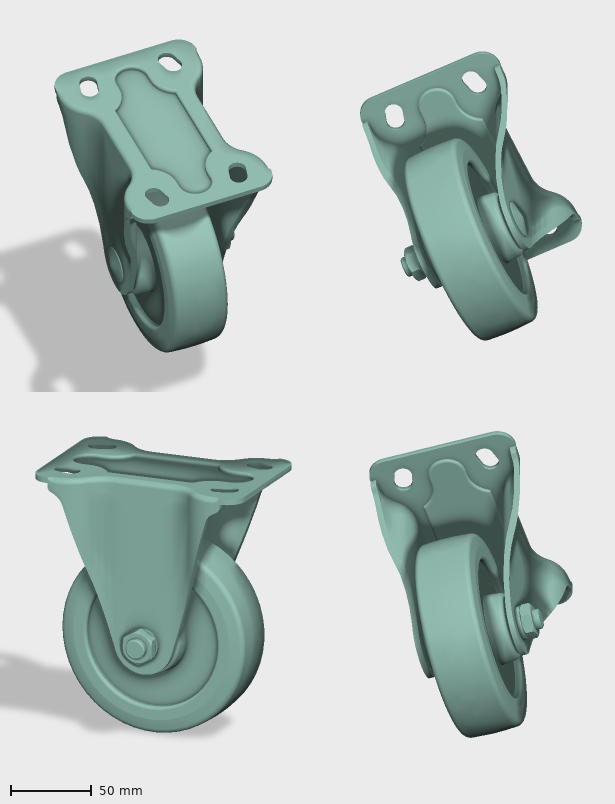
import cadquery as cq
import math


wheel_radius = 62.2
overall_height = 167.1
plate_top = overall_height - wheel_radius

selection_margin = 0.2

sheet = 3.5
plate_half_length = 70.0
plate_width = 94.0
plate_half_width = plate_width / 2
plate_corner_radius = 11.7
arm_outer_y = 32.0
arm_inner_y = arm_outer_y - sheet
arm_flat_half_width = 20.0
waist_inflection_x = 34.6
runout_stations = (0, 0.5, 0.85, 0.99)
waist_end_x = 52.0

arm_end_radius = 19.5
arm_flare_angle = 17.4
tab_half_width = 57.8
tab_depth = 8.0
tab_slope_angle = 27.0
tab_corner_radius = 3.3
tab_hollow_radius = 11.7

slot_x = 53.0
slot_y = 27.2
slot_width = 11.0
slot_travel = 6.5
slot_angle = 15.0

panel_half_width = 21.9
panel_corner_reach = 33.5
panel_nose_radius = 11.9
panel_nose_x = 49.1
panel_shoulder_x = 44.8
panel_shoulder_radius = 17.0
panel_corner_radius = 1.7
panel_boss_depth = 1.8
panel_recess_depth = 3.0
panel_edge_radius = 1.7
panel_recess_corner_radius = 0.8

crown_edge_y = 14.9
crown_edge_radius = 61.5
tyre_bulge_y = 16.9
tyre_bulge_radius = 60.5
shoulder_y = 17.9
shoulder_radius = 58.7
side_y = 19.0
side_radius = 52.3
rim_inner_radius = 46.1
web_outer_radius = 42.1
web_y = 13.9
hub_root_radius = 24.2
hub_tip_radius = 21.4
hub_tip_rounding = 3.2
hub_end_y = 26.7
bore_radius = 8.5

shank_radius = 6.4
head_radius = 11.5
head_rim = 0.8
head_height = 3.8
washer_radius = 10.5
washer_thickness = 2.5
nut_across_flats = 19.4
nut_height = 7.0
nut_trim_radial = 1.7
nut_trim_axial = 1.2
shank_end_y = 45.5
shank_end_chamfer = 0.8


def plan_outline():
    """Closed plan of the plate: round corners and a narrow waist."""
    run = waist_end_x - arm_flat_half_width
    rise = plate_half_width - arm_outer_y
    turn = 2 * math.atan(rise / run)
    hollow_radius = (waist_inflection_x - arm_flat_half_width) / math.sin(turn)
    round_radius = (waist_end_x - waist_inflection_x) / math.sin(turn)

    inflection = (waist_inflection_x, arm_outer_y + hollow_radius * (1 - math.cos(turn)))
    hollow_mid = (
        arm_flat_half_width + hollow_radius * math.sin(turn / 2),
        arm_outer_y + hollow_radius * (1 - math.cos(turn / 2)),
    )
    round_mid = (
        waist_end_x - round_radius * math.sin(turn / 2),
        plate_half_width - round_radius * (1 - math.cos(turn / 2)),
    )
    corner_x = plate_half_length - plate_corner_radius
    corner_y = plate_half_width - plate_corner_radius
    corner_reach = plate_corner_radius * math.sqrt(0.5)
    return (
        cq.Workplane("XY")
        .moveTo(0, arm_outer_y)
        .lineTo(arm_flat_half_width, arm_outer_y)
        .threePointArc(hollow_mid, inflection)
        .threePointArc(round_mid, (waist_end_x, plate_half_width))
        .lineTo(corner_x, plate_half_width)
        .threePointArc((corner_x + corner_reach, corner_y + corner_reach), (plate_half_length, corner_y))
        .lineTo(plate_half_length, 0)
        .mirrorX()
        .mirrorY()
    )


def panel_outline():
    """Closed plan of the pressed panel: wide middle, two necks with round noses."""
    shoulder_centre_y = panel_nose_radius + panel_shoulder_radius
    corner_drop = math.asin((shoulder_centre_y - panel_half_width) / panel_shoulder_radius)
    corner_x = panel_shoulder_x - panel_shoulder_radius * math.cos(corner_drop)
    mid_angle = (corner_drop + math.pi / 2) / 2
    shoulder_mid = (
        panel_shoulder_x - panel_shoulder_radius * math.cos(mid_angle),
        shoulder_centre_y - panel_shoulder_radius * math.sin(mid_angle),
    )
    nose_reach = panel_nose_radius * math.sqrt(0.5)
    return (
        cq.Workplane("XY")
        .moveTo(0, panel_half_width)
        .lineTo(corner_x, panel_half_width)
        .threePointArc(shoulder_mid, (panel_shoulder_x, panel_nose_radius))
        .lineTo(panel_nose_x, panel_nose_radius)
        .threePointArc((panel_nose_x + nose_reach, nose_reach), (panel_nose_x + panel_nose_radius, 0))
        .mirrorX()
        .mirrorY()
    )


def arm_silhouette():
    """Block with the arm's front shape: tab at the top, tapered sides, round end."""
    flare = math.radians(arm_flare_angle)
    slope = math.tan(math.radians(tab_slope_angle))
    end_x = arm_end_radius * math.cos(flare)
    end_z = -arm_end_radius * math.sin(flare)
    tab_z = plate_top - tab_depth
    edge_x_at_tab = end_x + (tab_z - end_z) * math.tan(flare)
    hollow_x = tab_half_width - (tab_half_width - edge_x_at_tab) / (1 - slope * math.tan(flare))
    hollow_z = end_z + (hollow_x - end_x) / math.tan(flare)

    block = (
        cq.Workplane("XZ")
        .moveTo(-tab_half_width, plate_top)
        .lineTo(-tab_half_width, tab_z)
        .lineTo(-hollow_x, hollow_z)
        .lineTo(-end_x, end_z)
        .threePointArc((0, -arm_end_radius), (end_x, end_z))
        .lineTo(hollow_x, hollow_z)
        .lineTo(tab_half_width, tab_z)
        .lineTo(tab_half_width, plate_top)
        .close()
        .extrude(plate_half_width, both=True)
    )
    for side in (-1, 1):
        tab_corner = cq.NearestToPointSelector((side * tab_half_width, 0, tab_z))
        block = block.edges("|Y").edges(tab_corner).fillet(tab_corner_radius)
        hollow_corner = cq.NearestToPointSelector((side * hollow_x, 0, hollow_z))
        block = block.edges("|Y").edges(hollow_corner).fillet(tab_hollow_radius)
    return block


def bent_sheet():
    """Plate and both arms, with the bend rounded along the waist."""
    depth = plate_top + arm_end_radius
    outside = plan_outline().extrude(-depth).translate((0, 0, plate_top))
    inside = plan_outline().offset2D(-sheet).extrude(-depth).translate((0, 0, plate_top - sheet))
    plate = plan_outline().extrude(-sheet).translate((0, 0, plate_top))
    arms = outside.cut(inside).intersect(arm_silhouette())
    body = plate.union(arms)

    rounded = outside.faces(">Z").edges().fillet(sheet)
    waist = cq.Workplane("XY").box(2 * waist_end_x, 2 * plate_half_width, 2 * depth)
    waist_waste = outside.cut(rounded).intersect(waist)
    body = body.cut(waist_waste)
    for x_side in (-1, 1):
        for y_side in (-1, 1):
            body = body.cut(bend_runout(x_side, y_side))
    return body


def corner_profile(x, y_side, radius):
    """Waste outside a rounded top edge, in the plane at x."""
    y_edge = y_side * plate_half_width
    reach = radius * (1 - math.sqrt(0.5))
    return (
        cq.Workplane("YZ", origin=(x, 0, 0))
        .moveTo(y_edge, plate_top)
        .lineTo(y_edge - y_side * radius, plate_top)
        .threePointArc((y_edge - y_side * reach, plate_top - reach), (y_edge, plate_top - radius))
        .close()
        .wires()
        .val()
    )


def bend_runout(x_side, y_side):
    """Waste where the bend radius fades to a square edge, falling like a quarter ellipse."""
    run = tab_half_width - waist_end_x
    profiles = []
    for share in runout_stations:
        x = waist_end_x + share * run
        radius = sheet * math.sqrt(1 - share**2)
        profiles.append(corner_profile(x_side * x, y_side, radius))
    return cq.Workplane(cq.Solid.makeLoft(profiles, True))


def slot_cutters():
    """Four slots, each tilted towards the middle of the plate."""
    cutters = cq.Workplane("XY")
    for x_side in (-1, 1):
        for y_side in (-1, 1):
            slot = (
                cq.Workplane("XY")
                .slot2D(slot_travel + slot_width, slot_width, -x_side * y_side * slot_angle)
                .extrude(-sheet)
                .translate((x_side * slot_x, y_side * slot_y, plate_top))
            )
            cutters = cutters.add(slot)
    return cutters.combine()


def panel_prism(outline, depth, corner_radius):
    """Panel shape below the plate top, with the four corners of its wide middle rounded."""
    prism = outline.extrude(-depth).translate((0, 0, plate_top))
    middle = cq.selectors.BoxSelector(
        (-panel_corner_reach, -plate_half_width, plate_top - depth),
        (panel_corner_reach, plate_half_width, plate_top),
    )
    return prism.edges("|Z").edges(middle).fillet(corner_radius)


def add_panel(body):
    """Presses the panel down: a recess above and a matching boss below."""
    boss = panel_prism(panel_outline(), sheet + panel_boss_depth, panel_corner_radius)
    boss = boss.faces("<Z").edges().fillet(panel_edge_radius)
    recess_outline = panel_outline().offset2D(-panel_edge_radius)
    recess = panel_prism(recess_outline, panel_recess_depth, panel_recess_corner_radius)
    body = body.union(boss).cut(recess)

    panel_half_length = panel_nose_x + panel_nose_radius
    lip = cq.selectors.BoxSelector(
        (-panel_half_length, -panel_half_width, plate_top - selection_margin),
        (panel_half_length, panel_half_width, plate_top + selection_margin),
        boundingbox=True,
    )
    return body.edges(lip).fillet(panel_edge_radius)


def make_bracket():
    """Bent sheet with the pressed panel, the mounting slots and the axle holes."""
    axle_holes = cq.Workplane("XZ").circle(shank_radius).extrude(plate_half_width, both=True)
    return add_panel(bent_sheet()).cut(slot_cutters()).cut(axle_holes)


def rounded_corner(centre_x, centre_y, radius, x_sign, y_sign):
    """Middle point of a quarter arc that lies on the given side of its centre."""
    reach = radius * math.sqrt(0.5)
    return (centre_x + x_sign * reach, centre_y + y_sign * reach)


def side_ring():
    """Ring that forms one side of the wheel, from the middle plane out to the hub end."""
    rim_step = (rim_inner_radius - web_outer_radius) / 2
    rim_middle = rim_inner_radius - rim_step
    hub_root_end = hub_root_radius - rim_step
    tip_y = hub_end_y - hub_tip_rounding
    tip_inner_radius = hub_tip_radius - hub_tip_rounding

    tyre_bulge = (tyre_bulge_radius, tyre_bulge_y)
    rim_lip = rounded_corner(rim_inner_radius, side_y - rim_step, rim_step, -1, 1)
    rim_root = rounded_corner(web_outer_radius, web_y + rim_step, rim_step, 1, -1)
    hub_root = rounded_corner(hub_root_radius, web_y + rim_step, rim_step, -1, -1)
    hub_tip = rounded_corner(tip_inner_radius, tip_y, hub_tip_rounding, 1, 1)
    profile = (
        cq.Workplane("XY")
        .moveTo(bore_radius, 0)
        .lineTo(crown_edge_radius, 0)
        .lineTo(crown_edge_radius, crown_edge_y)
        .threePointArc(tyre_bulge, (shoulder_radius, shoulder_y))
        .lineTo(side_radius, side_y)
        .lineTo(rim_inner_radius, side_y)
        .threePointArc(rim_lip, (rim_middle, side_y - rim_step))
        .lineTo(rim_middle, web_y + rim_step)
        .threePointArc(rim_root, (web_outer_radius, web_y))
        .lineTo(hub_root_radius, web_y)
        .threePointArc(hub_root, (hub_root_end, web_y + rim_step))
        .lineTo(hub_tip_radius, tip_y)
        .threePointArc(hub_tip, (tip_inner_radius, hub_end_y))
        .lineTo(bore_radius, hub_end_y)
        .close()
    )
    return profile.revolve(360, (0, 0, 0), (0, 1, 0))


def make_wheel():
    """Two mirrored sides under one crowned tread."""
    tread = (
        cq.Workplane("XY")
        .moveTo(bore_radius, -crown_edge_y)
        .lineTo(crown_edge_radius, -crown_edge_y)
        .threePointArc((wheel_radius, 0), (crown_edge_radius, crown_edge_y))
        .lineTo(bore_radius, crown_edge_y)
        .close()
        .revolve(360, (0, 0, 0), (0, 1, 0))
    )
    side = side_ring()
    return tread.union(side).union(side.mirror("XZ"))


def along_axle(start_y, radius, length):
    """Cylinder about the axle line, growing towards +Y."""
    return cq.Workplane("XZ", origin=(0, start_y, 0)).circle(radius).extrude(-length)


def make_head():
    """Low conical head with a thin straight rim, outside the -Y arm."""
    rim_y = -arm_outer_y - head_rim
    top_y = -arm_outer_y - head_height
    return (
        cq.Workplane("XY")
        .moveTo(0, -arm_outer_y)
        .lineTo(head_radius, -arm_outer_y)
        .lineTo(head_radius, rim_y)
        .lineTo(0, top_y)
        .close()
        .revolve(360, (0, 0, 0), (0, 1, 0))
    )


def make_nut():
    """Hexagonal nut with corners up and down, trimmed by a cone at each face."""
    start_y = arm_outer_y + washer_thickness
    end_y = start_y + nut_height
    corner_radius = nut_across_flats / math.sqrt(3)
    face_radius = corner_radius - nut_trim_radial
    hexagon = (
        cq.Workplane("XZ", origin=(0, start_y, 0))
        .transformed(rotate=(0, 0, 90))
        .polygon(6, 2 * corner_radius)
        .extrude(-nut_height)
    )
    trimmed_round = (
        cq.Workplane("XY")
        .moveTo(0, start_y)
        .lineTo(face_radius, start_y)
        .lineTo(corner_radius, start_y + nut_trim_axial)
        .lineTo(corner_radius, end_y - nut_trim_axial)
        .lineTo(face_radius, end_y)
        .lineTo(0, end_y)
        .close()
        .revolve(360, (0, 0, 0), (0, 1, 0))
    )
    return hexagon.intersect(trimmed_round)


def make_axle():
    """Sleeve between the arms, shank through them, conical head, washer and nut."""
    sleeve = along_axle(-arm_inner_y, bore_radius, 2 * arm_inner_y)
    shank = along_axle(-arm_outer_y, shank_radius, arm_outer_y + shank_end_y)
    shank = shank.faces(">Y").chamfer(shank_end_chamfer)
    washer = along_axle(arm_outer_y, washer_radius, washer_thickness)
    return sleeve.union(shank).union(make_head()).union(washer).union(make_nut())


bracket = make_bracket()
wheel = make_wheel()
axle = make_axle()

result = cq.Compound.makeCompound([bracket.val(), wheel.val(), axle.val()])